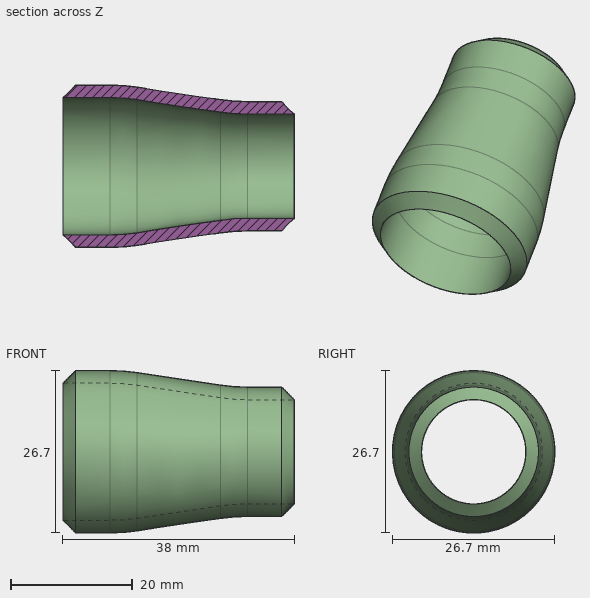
import cadquery as cq

length = 38.0
large_radius = 13.357
small_radius = 10.65
wall = 2.1
bevel_length = wall
straight_length = 7.7
bend_length = 4.45

large_end = straight_length
small_end = length - straight_length

cone_slope = (small_radius - large_radius) / (small_end - large_end - bend_length)
bend_rise = cone_slope * bend_length / 2


def add_taper(profile, radius_offset, toward_small_end):
    """Continue the profile through bend, cone and reverse bend, in either direction."""
    direction = 1 if toward_small_end else -1
    axial = (direction, 0)
    sloped = (direction, direction * cone_slope)
    points = [
        (large_end, large_radius + radius_offset),
        (large_end + bend_length, large_radius + radius_offset + bend_rise),
        (small_end - bend_length, small_radius + radius_offset - bend_rise),
        (small_end, small_radius + radius_offset),
    ]
    start, cone_start, cone_end, end = points[::direction]
    profile = profile.lineTo(*start)
    profile = profile.spline([cone_start], tangents=[axial, sloped], includeCurrent=True)
    profile = profile.lineTo(*cone_end)
    return profile.spline([end], tangents=[sloped, axial], includeCurrent=True)


section = cq.Workplane("XZ").moveTo(0, large_radius - wall).lineTo(bevel_length, large_radius)
section = add_taper(section, 0, toward_small_end=True)
section = section.lineTo(length - bevel_length, small_radius).lineTo(length, small_radius - wall)
section = add_taper(section, -wall, toward_small_end=False)
section = section.close()

result = section.revolve(360, (0, 0, 0), (1, 0, 0))